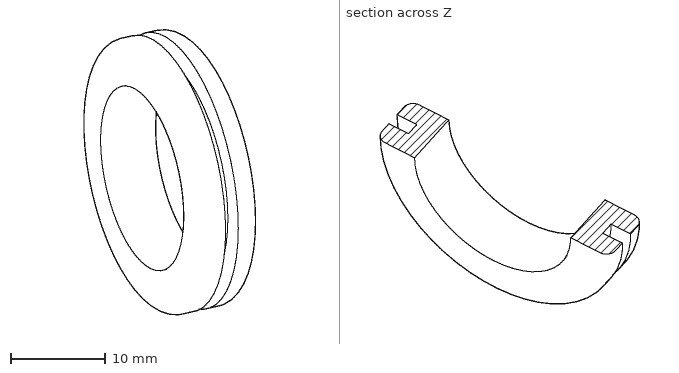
import cadquery as cq

outer_diameter = 30.0
bore_diameter = 20.0
groove_diameter = 25.0
width = 6.5
groove_width = 1.5
rim_radius = 1.2
cut_overrun = 0.6


def ring(outer, inner, length):
    """Flat ring centred on the origin, with its axis along Y."""
    return (
        cq.Workplane("XZ", origin=(0, length / 2, 0))
        .circle(outer / 2)
        .circle(inner / 2)
        .extrude(length)
    )


outer_rims = cq.selectors.RadiusNthSelector(-1)
body = ring(outer_diameter, bore_diameter, width).edges("%CIRCLE").edges(outer_rims).fillet(rim_radius)

groove = ring(outer_diameter + cut_overrun, groove_diameter, groove_width)
result = body.cut(groove)